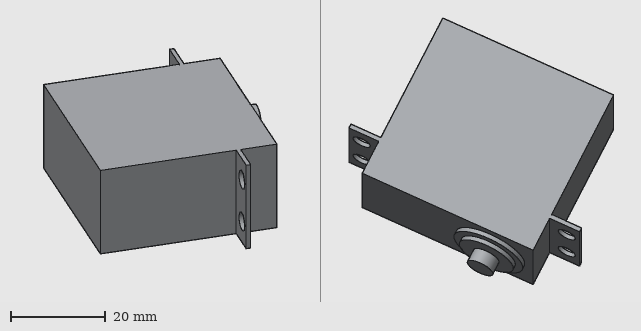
import cadquery as cq

case_length = 40.0
case_depth = 39.0
case_height = 20.0

ear_length = 7.0
ear_thickness = 1.0
ear_setback = 8.0
ear_hole_diameter = 4.0
ear_hole_edge_distance = 3.0
left_hole_spacing = 9.85
right_hole_spacing = 10.0

shaft_offset = 10.0
shaft_steps = [(16.1, 1.0), (12.65, 1.0), (6.0, 3.0)]

span = case_length + 2 * ear_length
ear_front = case_depth - ear_setback - ear_thickness
ear_hole_x = span / 2 - ear_hole_edge_distance
shaft_x = -case_length / 2 + shaft_offset


def make_block(length, depth, height):
    """Box centred on X and Z, with its -Y face at Y = 0."""
    return cq.Workplane("XY").box(length, depth, height, centered=(True, False, True))


def make_cylinder(x, y, z, diameter, height):
    """Cylinder that starts at the given point and runs along +Y."""
    return cq.Workplane("XZ", origin=(x, y, z)).circle(diameter / 2).extrude(-height)


def make_ears():
    """One plate across the full span; the case covers its middle."""
    plate = make_block(span, ear_thickness, case_height)
    for x, spacing in [(-ear_hole_x, left_hole_spacing), (ear_hole_x, right_hole_spacing)]:
        for z in (-spacing / 2, spacing / 2):
            plate = plate.cut(make_cylinder(x, 0, z, ear_hole_diameter, ear_thickness))
    return plate.translate((0, ear_front, 0))


def add_shaft(body):
    """Stack the stepped cylinders outwards from the +Y case face."""
    base_y = case_depth
    for diameter, height in shaft_steps:
        body = body.union(make_cylinder(shaft_x, base_y, 0, diameter, height))
        base_y += height
    return body


case = make_block(case_length, case_depth, case_height)
result = add_shaft(case.union(make_ears()))